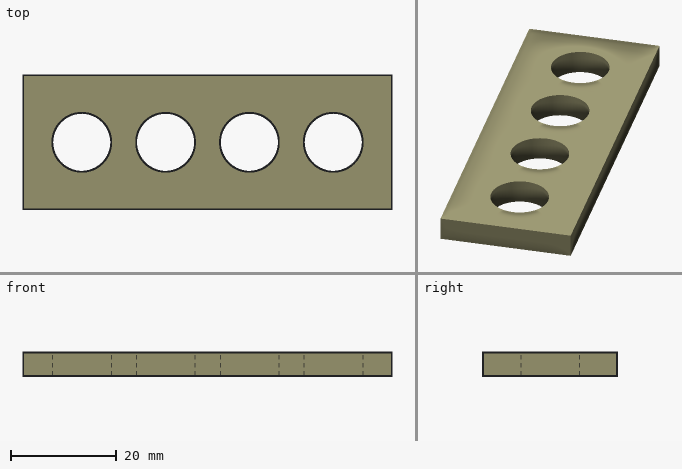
import cadquery as cq

plate_length = 69.85
plate_width = 25.4
plate_thickness = 4.5

hole_count = 4
hole_diameter = 11.11
hole_pitch = 15.875


def make_plate():
    """Flat rectangular plate centred on X and Y, resting on Z = 0."""
    return cq.Workplane("XY").box(
        plate_length, plate_width, plate_thickness, centered=(True, True, False)
    )


def drill_hole_row(plate):
    """Cut the evenly spaced through holes, centred on the plate."""
    return (
        plate.faces(">Z")
        .workplane(origin=(0, 0, plate_thickness))
        .rarray(hole_pitch, plate_width, hole_count, 1)
        .hole(hole_diameter)
    )


result = drill_hole_row(make_plate())